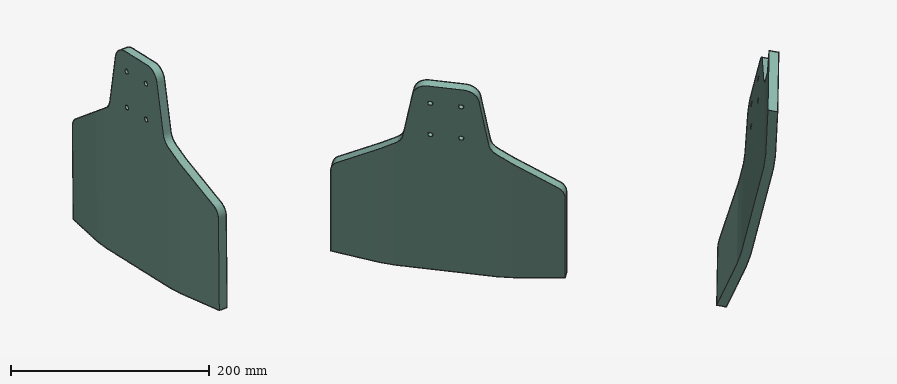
import cadquery as cq
import math

width = 240.0
height = 242.5
thickness = 10.0
half_width = width / 2
lean = math.radians(0.6)

center_half_width = 52.5
strip_end = 68.5
strip_angle = math.radians(5)
wing_angle = 2 * strip_angle

top_half_width = 31.8
neck_taper = math.tan(math.radians(10))
shoulder_slope = math.tan(math.radians(35))
shoulder_end_height = 114.5
corner_radius = 16.0

hole_diameter = 5.0
hole_spacing = 31.5
hole_heights = (178.5, 220.0)

margin = 12.1
trim_depth = 121.3


def face_points(depth):
    """Half of the sheet section at a depth behind the front face, from center to wing end."""
    strip_start_x = center_half_width - depth * math.tan(strip_angle / 2)
    crease_angle = (strip_angle + wing_angle) / 2
    crease_depth = depth / math.cos((wing_angle - strip_angle) / 2)
    strip_rise = (strip_end - center_half_width) * math.tan(strip_angle)
    wing_start_x = strip_end - crease_depth * math.sin(crease_angle)
    wing_start_y = strip_rise + crease_depth * math.cos(crease_angle)
    wing_end_x = half_width + margin
    wing_end_y = wing_start_y + (wing_end_x - wing_start_x) * math.tan(wing_angle)
    return [
        (0, depth),
        (strip_start_x, depth),
        (wing_start_x, wing_start_y),
        (wing_end_x, wing_end_y),
    ]


def bent_sheet():
    """Constant-thickness folded sheet, leaning from an upright position."""
    half_sheet = (
        cq.Workplane("XY")
        .polyline(face_points(0) + face_points(thickness)[::-1])
        .close()
        .extrude(height + 2 * margin)
        .translate((0, 0, -margin))
    )
    sheet = half_sheet.union(half_sheet.mirror("YZ")).clean()
    return sheet.rotate((0, 0, 0), (1, 0, 0), math.degrees(lean))


def outline_prism():
    """Front outline with rounded corners, running straight along Y."""
    neck_height = (
        shoulder_end_height
        + shoulder_slope * (half_width - top_half_width - neck_taper * height)
    ) / (1 - shoulder_slope * neck_taper)
    neck_half_width = top_half_width + neck_taper * (height - neck_height)
    right_side = [
        (half_width, 0),
        (half_width, shoulder_end_height),
        (neck_half_width, neck_height),
        (top_half_width, height),
    ]
    left_side = [(-x, z) for x, z in reversed(right_side)]
    upper_corners = cq.selectors.BoxSelector(
        (-width, -trim_depth, margin),
        (width, trim_depth, height + margin),
    )
    return (
        cq.Workplane("XZ")
        .polyline(right_side + left_side)
        .close()
        .extrude(trim_depth, both=True)
        .edges("|Y")
        .edges(upper_corners)
        .fillet(corner_radius)
    )


def mounting_holes():
    """Four through holes along Y in the neck."""
    centers = [(side * hole_spacing / 2, z) for side in (-1, 1) for z in hole_heights]
    return (
        cq.Workplane("XZ")
        .pushPoints(centers)
        .circle(hole_diameter / 2)
        .extrude(trim_depth, both=True)
    )


result = bent_sheet().intersect(outline_prism()).cut(mounting_holes())